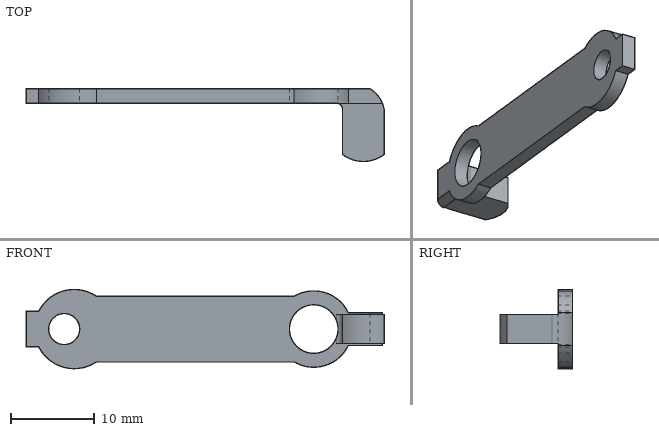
import cadquery as cq

length = 43.1
depth = 8.8
plate_thickness = 1.75

strap_height = 7.95
small_end_x = 5.78
small_end_diameter = 9.55
large_end_x = 34.6
large_end_diameter = 9.22

tab_height = 4.3

small_hole_x = 4.55
small_hole_diameter = 3.7
large_hole_diameter = 5.8

arm_width = 5.05
arm_height = 3.55
neck_height = 3.95
tip_bulge = 0.85
inner_bend_radius = 0.75
outer_bend_run = 1.72
outer_bend_drop = 2.5
outer_bend_mid = (42.45, -1.0)

arm_x = length - arm_width
tip_side_y = tip_bulge - depth


def plate_block(x_start, x_end, height):
    """Rectangular piece of the plate, centred on Z = 0."""
    return cq.Workplane("XY").box(
        x_end - x_start, plate_thickness, height, centered=(False, False, True)
    ).translate((x_start, -plate_thickness, 0))


def disc(x, diameter):
    """Disc through the plate thickness, with its axis along Y."""
    return cq.Workplane("XZ").center(x, 0).circle(diameter / 2).extrude(plate_thickness)


def bent_arm(height):
    """Arm turned toward -Y, with a rounded outer bend, inner fillet and bulged tip."""
    fillet_x = arm_x - inner_bend_radius
    fillet_y = -plate_thickness - inner_bend_radius
    return (
        cq.Workplane("XY")
        .moveTo(fillet_x, 0)
        .lineTo(length - outer_bend_run, 0)
        .threePointArc(outer_bend_mid, (length, -outer_bend_drop))
        .lineTo(length, tip_side_y)
        .threePointArc((length - arm_width / 2, -depth), (arm_x, tip_side_y))
        .lineTo(arm_x, fillet_y)
        .radiusArc((fillet_x, -plate_thickness), -inner_bend_radius)
        .close()
        .extrude(height / 2, both=True)
    )


plate = plate_block(small_end_x, large_end_x, strap_height)
plate = plate.union(plate_block(0, small_end_x, tab_height))
plate = plate.union(disc(small_end_x, small_end_diameter))
plate = plate.union(disc(large_end_x, large_end_diameter))

neck = bent_arm(neck_height).intersect(plate_block(large_end_x, length, neck_height))
body = plate.union(neck).union(bent_arm(arm_height))

for hole_x, hole_diameter in (
    (small_hole_x, small_hole_diameter),
    (large_end_x, large_hole_diameter),
):
    cutter = cq.Workplane("XZ").center(hole_x, 0).circle(hole_diameter / 2).extrude(depth)
    body = body.cut(cutter)

result = body